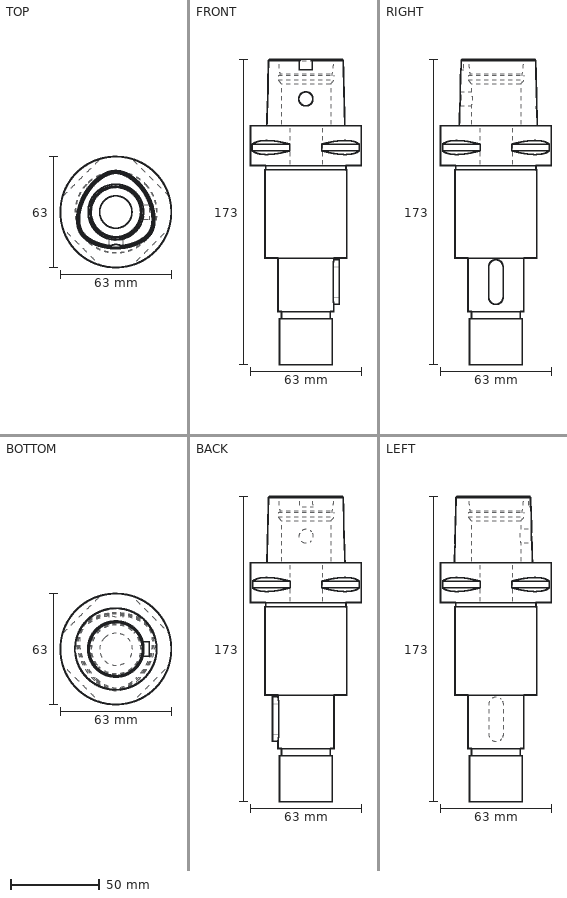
import cadquery as cq
import math

nose_top = 26.1
groove_top = 30.1
journal_top = 60.4
body_top = 110.4
flange_bottom = 112.8
flange_top = 135.5
total_height = 173.0

nose_radius = 15.0
groove_radius = 13.8
journal_radius = 16.0
body_radius = 23.2
neck_radius = 22.8
flange_radius = 31.5

shank_base_radius = 22.1
shank_taper = 1 / 40
lobe_height = 1.4
shank_chamfer_height = 1.0
shank_chamfer_width = 0.7
lobe_points = 48

bore_radius = 15.7
bore_end_radius = 15.0
bore_depth = 7.1
lip_radius = 14.7
lip_top_depth = 8.1
lip_bottom_depth = 9.2
undercut_radius = bore_radius
undercut_depth = 11.8
inner_bore_radius = 14.0
inner_bore_depth = 13.8
inner_floor = flange_top
pilot_radius = 9.2
pilot_floor = flange_bottom

cross_hole_radius = 4.0
cross_hole_level = 150.5
notch_radius = 5.7
notch_height = 5.9
notch_floor = 18.3

slot_level = 123.0
slot_floor = 27.7
slot_floor_height = 3.8
slot_mouth_height = 8.0
slot_count = 4

key_width = 8.1
key_bottom = 34.3
key_top = 59.5
key_outer = 19.0


def cylinder(radius, bottom, top):
    return cq.Workplane("XY").workplane(offset=bottom).circle(radius).extrude(top - bottom)


def lobed_point(mean_radius, angle):
    """Point of a constant-width trilobe with one lobe toward +Y."""
    phase = 3 * (angle - math.pi / 2)
    support = mean_radius + lobe_height * math.cos(phase)
    slope = -3 * lobe_height * math.sin(phase)
    x = support * math.cos(angle) - slope * math.sin(angle)
    y = support * math.sin(angle) + slope * math.cos(angle)
    return x, y


def lobed_frustum(bottom_radius, top_radius, bottom, top):
    angles = [2 * math.pi * i / lobe_points for i in range(lobe_points)]
    lower = [lobed_point(bottom_radius, a) for a in angles]
    upper = [lobed_point(top_radius, a) for a in angles]
    return (
        cq.Workplane("XY")
        .workplane(offset=bottom)
        .spline(lower, periodic=True)
        .close()
        .workplane(offset=top - bottom)
        .spline(upper, periodic=True)
        .close()
        .loft(ruled=True)
    )


def shank():
    chamfer_bottom = total_height - shank_chamfer_height
    rim_radius = shank_base_radius - shank_taper * (chamfer_bottom - flange_top)
    taper = lobed_frustum(shank_base_radius, rim_radius, flange_top, chamfer_bottom)
    chamfer = lobed_frustum(rim_radius, rim_radius - shank_chamfer_width, chamfer_bottom, total_height)
    return taper.union(chamfer)


def clamping_bore():
    return (
        cq.Workplane("XZ")
        .moveTo(0, total_height)
        .lineTo(bore_radius, total_height)
        .lineTo(bore_end_radius, total_height - bore_depth)
        .lineTo(lip_radius, total_height - lip_top_depth)
        .lineTo(lip_radius, total_height - lip_bottom_depth)
        .lineTo(undercut_radius, total_height - lip_bottom_depth)
        .lineTo(undercut_radius, total_height - undercut_depth)
        .lineTo(inner_bore_radius, total_height - inner_bore_depth)
        .lineTo(inner_bore_radius, inner_floor)
        .lineTo(pilot_radius, inner_floor)
        .lineTo(pilot_radius, pilot_floor)
        .lineTo(0, pilot_floor)
        .close()
        .revolve(360, (0, 0, 0), (0, 1, 0))
    )


def cross_hole():
    """Radial hole from the -Y side into the clamping bore."""
    return (
        cq.Workplane("XZ")
        .center(0, cross_hole_level)
        .circle(cross_hole_radius)
        .extrude(flange_radius)
    )


def notch():
    """Upright round-backed scallop in the rim of the shank."""
    return (
        cq.Workplane("XY")
        .workplane(offset=total_height - notch_height)
        .center(0, -notch_floor - notch_radius)
        .circle(notch_radius)
        .extrude(notch_height)
    )


def gripper_slot():
    """Slot across the +X side of the flange, with flanks opening outward."""
    floor_half = slot_floor_height / 2
    mouth_half = slot_mouth_height / 2
    return (
        cq.Workplane("XZ")
        .moveTo(slot_floor, slot_level - floor_half)
        .lineTo(flange_radius, slot_level - mouth_half)
        .lineTo(flange_radius, slot_level + mouth_half)
        .lineTo(slot_floor, slot_level + floor_half)
        .close()
        .extrude(flange_radius, both=True)
    )


def drive_key():
    return (
        cq.Workplane("YZ")
        .center(0, (key_bottom + key_top) / 2)
        .slot2D(key_top - key_bottom, key_width, 90)
        .extrude(key_outer)
    )


result = (
    cylinder(nose_radius, 0, nose_top)
    .union(cylinder(groove_radius, nose_top, groove_top))
    .union(cylinder(journal_radius, groove_top, journal_top))
    .union(cylinder(body_radius, journal_top, body_top))
    .union(cylinder(neck_radius, body_top, flange_bottom))
    .union(cylinder(flange_radius, flange_bottom, flange_top))
    .union(shank())
    .union(drive_key())
    .cut(clamping_bore())
    .cut(cross_hole())
    .cut(notch())
)

slot_spacing = 360 / slot_count
for i in range(slot_count):
    slot_angle = slot_spacing * (i + 0.5)
    result = result.cut(gripper_slot().rotate((0, 0, 0), (0, 0, 1), slot_angle))